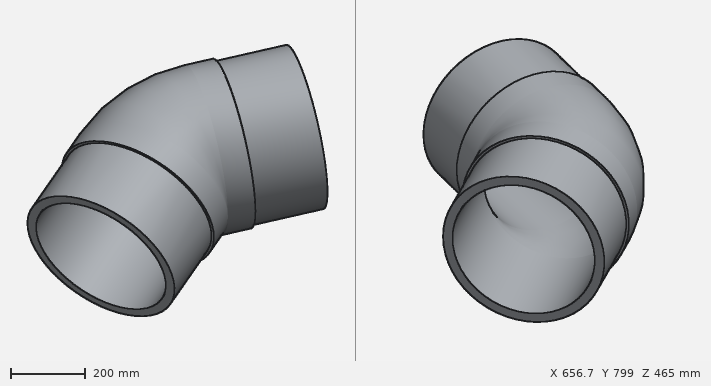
import cadquery as cq
import math

overall_length = 799.0
spigot_diameter = 450.0
body_diameter = 465.0
bore_diameter = 396.5
spigot_length = 202.0
throat_radius = 1.0
bend_angle = 45

angle = math.radians(bend_angle)
inlet_direction = cq.Vector(0, 1, 0)
outlet_direction = cq.Vector(math.sin(angle), math.cos(angle), 0)

outlet_face_rise = spigot_diameter / 2 * math.sin(angle)
leg_length = (overall_length - outlet_face_rise) / (1 + math.cos(angle))
corner = inlet_direction * leg_length


def elbow(diameter, leg):
    """Solid elbow whose two ends lie at distance leg from the corner."""
    radius = diameter / 2
    bend_radius = radius + throat_radius
    tangent_length = bend_radius * math.tan(angle / 2)
    straight_length = leg - tangent_length

    bend_start = corner - inlet_direction * tangent_length
    bend = (
        cq.Workplane("XZ", origin=bend_start.toTuple())
        .circle(radius)
        .revolve(bend_angle, (bend_radius, 0), (bend_radius, -1))
    )
    inlet_start = corner - inlet_direction * leg
    inlet = cq.Solid.makeCylinder(radius, straight_length, inlet_start, inlet_direction)
    outlet_start = corner + outlet_direction * tangent_length
    outlet = cq.Solid.makeCylinder(radius, straight_length, outlet_start, outlet_direction)
    return bend.union(cq.Workplane(inlet)).union(cq.Workplane(outlet))


def spigot(start, direction):
    """Solid end spigot running from start along direction."""
    return cq.Workplane(cq.Solid.makeCylinder(spigot_diameter / 2, spigot_length, start, direction))


collar_leg = leg_length - spigot_length
body = elbow(body_diameter, collar_leg)

inlet_spigot = spigot(corner - inlet_direction * collar_leg, inlet_direction * -1)
outlet_spigot = spigot(corner + outlet_direction * collar_leg, outlet_direction)

bore = elbow(bore_diameter, leg_length)

result = body.union(inlet_spigot).union(outlet_spigot).cut(bore)